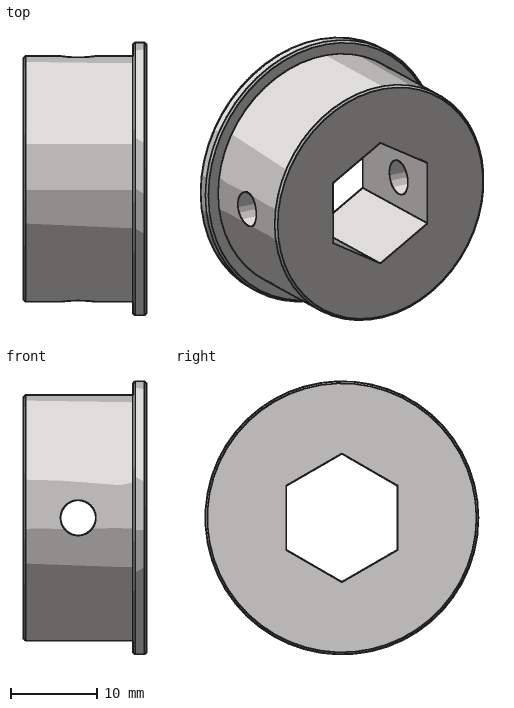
import cadquery as cq

flange_diameter = 31.75
flange_thickness = 1.6
body_diameter = 28.58
total_length = 14.3
edge_chamfer = 0.25
hex_across_flats = 12.9
pin_hole_diameter = 4.05

body_length = total_length - flange_thickness
pin_hole_x = body_length / 2


def disc(start_x, diameter, length):
    """Solid cylinder along X, beginning at start_x."""
    return cq.Workplane("YZ", origin=(start_x, 0, 0)).circle(diameter / 2).extrude(length)


body = disc(0, body_diameter, body_length).faces("<X").chamfer(edge_chamfer)
flange = disc(body_length, flange_diameter, flange_thickness).edges().chamfer(edge_chamfer)

hex_bore = (
    cq.Workplane("YZ")
    .polygon(6, hex_across_flats, circumscribed=True)
    .extrude(total_length)
)

pin_hole = (
    cq.Workplane("XZ", origin=(pin_hole_x, 0, 0))
    .circle(pin_hole_diameter / 2)
    .extrude(body_diameter, both=True)
)

result = body.union(flange).cut(hex_bore).cut(pin_hole)